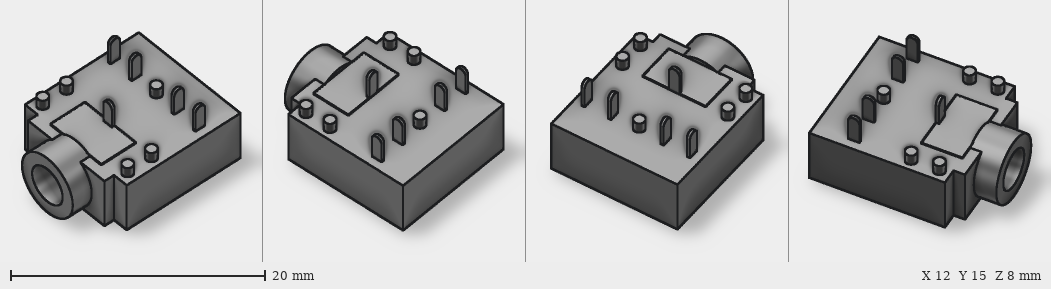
import cadquery as cq


body_width = 12.0
body_length = 12.0
body_height = 5.0
body_top = body_height / 2
step_width = 9.0
step_length = 1.0

barrel_diameter = 6.0
barrel_length = 3.0
bore_diameter = 3.6
bore_depth = barrel_length
barrel_front = -body_length - barrel_length

pin_width = 1.0
pin_thickness = 0.3
pin_tip_z = 5.0
pin_height = pin_tip_z - body_top
pin_pitch = 2.5

post_diameter = 1.0
post_height = 1.0

side_x = 2 * pin_pitch
rear_row_y = -3.5
middle_row_y = -8.5
front_row_y = middle_row_y - pin_pitch

plate_width = barrel_diameter
plate_thickness = 0.1
plate_rear = middle_row_y + pin_thickness / 2
plate_length = plate_rear + body_length


def block(width, length, height, rear_y, bottom_z):
    """Box centred on X that runs forward from rear_y and up from bottom_z."""
    return (
        cq.Workplane("XY", origin=(0, rear_y - length / 2, bottom_z))
        .box(width, length, height, centered=(True, True, False))
    )


def cylinder_along_y(diameter, length):
    """Cylinder on the barrel axis that runs back from the barrel front."""
    plane = cq.Workplane("XZ", origin=(0, barrel_front, 0))
    return plane.circle(diameter / 2).extrude(-length)


def pin(x, y, turn):
    """Round-tipped blade on the body top, facing Y and turned about its own axis."""
    half_width = pin_width / 2
    shoulder = pin_height - half_width
    blade = (
        cq.Workplane("XZ")
        .moveTo(-half_width, 0)
        .lineTo(half_width, 0)
        .lineTo(half_width, shoulder)
        .threePointArc((0, pin_height), (-half_width, shoulder))
        .close()
        .extrude(pin_thickness / 2, both=True)
    )
    return blade.rotate((0, 0, 0), (0, 0, 1), turn).translate((x, y, body_top))


result = block(body_width, body_length, body_height, 0, -body_top)
result = result.union(block(step_width, step_length, body_height, -body_length, -body_top))
result = result.union(block(plate_width, plate_length, plate_thickness, plate_rear, body_top))
result = result.union(cylinder_along_y(barrel_diameter, barrel_length))
result = result.cut(cylinder_along_y(bore_diameter, bore_depth))

for pin_x in (-side_x, -pin_pitch, pin_pitch, side_x):
    result = result.union(pin(pin_x, rear_row_y, 90))
result = result.union(pin(0, middle_row_y, 0))

post_places = [(0, rear_row_y)]
for post_x in (-side_x, side_x):
    for post_y in (middle_row_y, front_row_y):
        post_places.append((post_x, post_y))

posts = (
    cq.Workplane("XY", origin=(0, 0, body_top))
    .pushPoints(post_places)
    .circle(post_diameter / 2)
    .extrude(post_height)
)
result = result.union(posts)